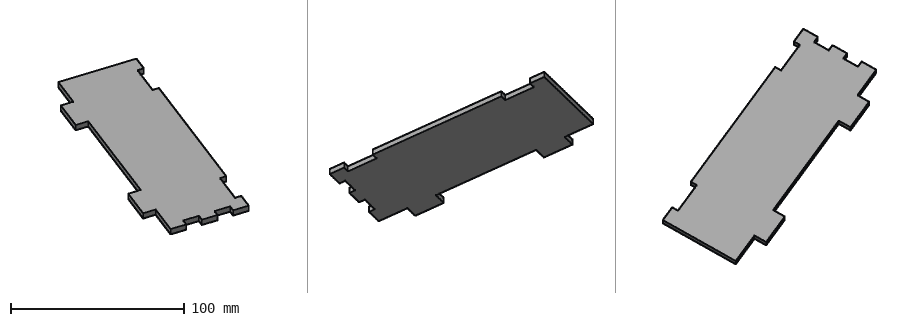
import cadquery as cq

LENGTH = 150.0
WIDTH = 50.0
THICKNESS = 4.0

NOTCH_DEPTH = THICKNESS
SLOT_LENGTH = 20.0
SLOT_INSET = 10.0
END_NOTCH_WIDTH = WIDTH / 5
END_NOTCH_STARTS = (END_NOTCH_WIDTH, 3 * END_NOTCH_WIDTH)

TAB_LENGTH = SLOT_LENGTH
TAB_DEPTH = 2 * THICKNESS
TAB_INSET = 20.0


def block(x, y, size_x, size_y):
    """Full-thickness block whose lower left corner is at (x, y)."""
    return cq.Workplane("XY").box(size_x, size_y, THICKNESS, centered=False).translate((x, y, 0))


def mirrored_starts(inset, length):
    """Start positions of two features set in equally from both ends of the plate."""
    return (inset, LENGTH - inset - length)


def add_tabs(plate):
    for x in mirrored_starts(TAB_INSET, TAB_LENGTH):
        plate = plate.union(block(x, -TAB_DEPTH, TAB_LENGTH, TAB_DEPTH))
    return plate


def cut_long_edge_notches(plate):
    for x in mirrored_starts(SLOT_INSET, SLOT_LENGTH):
        plate = plate.cut(block(x, WIDTH - NOTCH_DEPTH, SLOT_LENGTH, NOTCH_DEPTH))
    return plate


def cut_end_notches(plate):
    for y in END_NOTCH_STARTS:
        plate = plate.cut(block(LENGTH - NOTCH_DEPTH, y, NOTCH_DEPTH, END_NOTCH_WIDTH))
    return plate


plate = block(0, 0, LENGTH, WIDTH)
plate = add_tabs(plate)
plate = cut_long_edge_notches(plate)
result = cut_end_notches(plate)